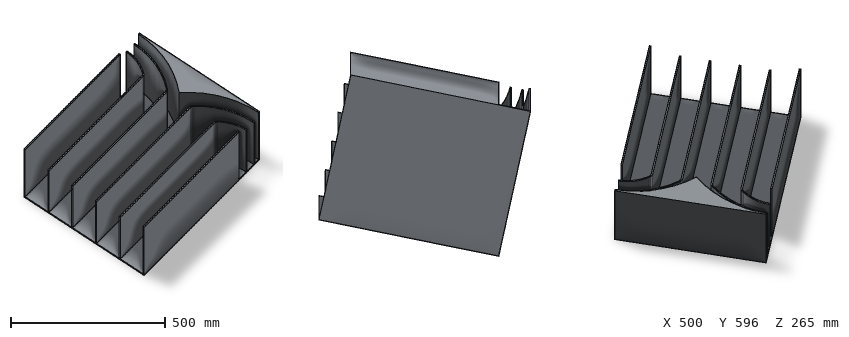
import cadquery as cq

width = 500.0
length = 596.0
height = 265.0

thickness = 5.0
partition_drop = 31.0
partition_top = height - partition_drop

channel_count = 5
channel_width = (width - (channel_count + 1) * thickness) / channel_count
bend_depth = 105.0
corner_radius = 15.0
straight_length = length - bend_depth

half_width = width / 2
back_rise = bend_depth - thickness
rise_per_span = back_rise / half_width


def plate(x_min, x_max, y_min, y_max, top):
    """Upright block standing on the base plane."""
    return cq.Workplane("XY").box(
        x_max - x_min, y_max - y_min, top, centered=False
    ).translate((x_min, y_min, 0))


def bend_disc(span, rise, top):
    """Cylinder about the left edge line, reaching `span` inward and `rise` back of the channels."""
    radius = (span**2 + rise**2) / (2 * rise)
    centre_y = straight_length + rise - radius
    return cq.Workplane("XY").center(-half_width, centre_y).circle(radius).extrude(top)


def mirrored(solid):
    """The left-hand solid together with its right-hand twin."""
    return solid.union(solid.mirror("YZ"))


def partition(inner_x):
    """Left partition: a straight wall and a curved side band, rounded where they meet."""
    outer_x = inner_x - thickness
    span = inner_x + half_width
    rise = rise_per_span * span
    straight = plate(outer_x, inner_x, 0, straight_length, partition_top)
    outer_disc = bend_disc(span, rise, partition_top)
    inner_disc = bend_disc(span - thickness, rise - thickness, partition_top)
    bend_zone = plate(-half_width, 0, straight_length, length, partition_top)
    band = outer_disc.cut(inner_disc).intersect(bend_zone)
    turned_wall = straight.union(band)
    for corner_x in (outer_x, inner_x):
        corner = cq.selectors.NearestToPointSelector((corner_x, straight_length, partition_top / 2))
        turned_wall = turned_wall.edges("|Z").edges(corner).fillet(corner_radius)
    return turned_wall


result = plate(-half_width, half_width, 0, length, thickness)

side_wall = plate(-half_width, -half_width + thickness, 0, straight_length, height)
result = result.union(mirrored(side_wall))

left_back = plate(-half_width, 0, straight_length, length, height)
left_wedge = left_back.cut(bend_disc(half_width, back_rise, height))
result = result.union(mirrored(left_wedge))

for index in range(channel_count // 2):
    inner_x = -channel_width / 2 - index * (channel_width + thickness)
    result = result.union(mirrored(partition(inner_x)))